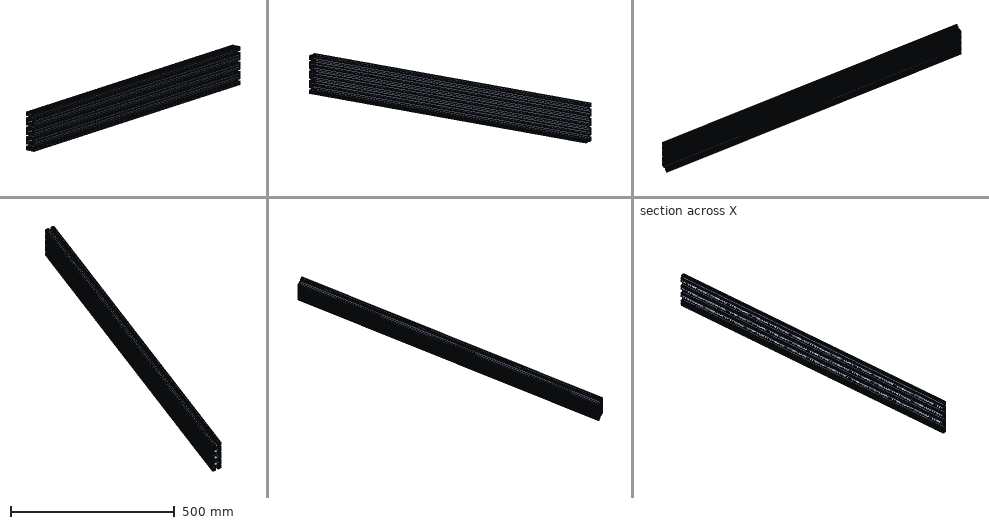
import cadquery as cq

CELL = 30.0
CELL_COUNT = 4
LENGTH = 1000.0
HEIGHT = CELL * CELL_COUNT
CORNER_RADIUS = 2.0

SLOT_OPENING = 8.0
LIP_THICKNESS = 2.0
SLOT_INNER_WIDTH = 17.0
SLOT_STRAIGHT_DEPTH = 5.0
SLOT_FLOOR_WIDTH = 8.0
SLOT_DEPTH = 9.0

BORE_DIAMETER = 8.2

CHAMBER_WALL = 2.0
CHAMBER_HEIGHT = 17.0
CHAMBER_SIDE_HEIGHT = 3.0
CHAMBER_FLAT_WIDTH = 12.0

CORNER_VOID_SIZE = 4.0
CORNER_VOID_INSET = 1.5

cell_centres = [(i + 0.5) * CELL - HEIGHT / 2 for i in range(CELL_COUNT)]
joint_heights = [i * CELL - HEIGHT / 2 for i in range(1, CELL_COUNT)]


def profile_plane():
    """XZ sketch plane at the front end; extruding by -LENGTH runs toward +Y."""
    return cq.Workplane("XZ", origin=(0, -LENGTH / 2, 0))


def slot_cutter(angle, centre_height):
    """T-slot cut into the top of a cell, turned about Y to another face and moved to its cell."""
    half_outline = [
        (SLOT_OPENING / 2, 0),
        (SLOT_OPENING / 2, LIP_THICKNESS),
        (SLOT_INNER_WIDTH / 2, LIP_THICKNESS),
        (SLOT_INNER_WIDTH / 2, SLOT_STRAIGHT_DEPTH),
        (SLOT_FLOOR_WIDTH / 2, SLOT_DEPTH),
    ]
    right_side = [(x, CELL / 2 - depth) for x, depth in half_outline]
    left_side = [(-x, z) for x, z in reversed(right_side)]
    cutter = profile_plane().polyline(right_side + left_side).close().extrude(-LENGTH)
    return cutter.rotate((0, 0, 0), (0, 1, 0), angle).translate((0, 0, centre_height))


def chamber_cutter(joint_height):
    """Eight-sided chamber, widest at the joint between two cells."""
    side_x = CELL / 2 - CHAMBER_WALL
    side_z = CHAMBER_SIDE_HEIGHT / 2
    flat_x = CHAMBER_FLAT_WIDTH / 2
    flat_z = CHAMBER_HEIGHT / 2
    upper = [(side_x, side_z), (flat_x, flat_z), (-flat_x, flat_z), (-side_x, side_z)]
    lower = [(-x, -z) for x, z in upper]
    cutter = profile_plane().polyline(upper + lower).close().extrude(-LENGTH)
    return cutter.translate((0, 0, joint_height))


result = profile_plane().rect(CELL, HEIGHT).extrude(-LENGTH)
result = result.edges("|Y").fillet(CORNER_RADIUS)

for centre in cell_centres:
    for angle in (90, -90):
        result = result.cut(slot_cutter(angle, centre))

for angle, centre in ((0, cell_centres[-1]), (180, cell_centres[0])):
    result = result.cut(slot_cutter(angle, centre))

for joint in joint_heights:
    result = result.cut(chamber_cutter(joint))

bore_positions = [(0, centre) for centre in cell_centres]
bores = profile_plane().pushPoints(bore_positions).circle(BORE_DIAMETER / 2).extrude(-LENGTH)
result = result.cut(bores)

void_offset = CORNER_VOID_INSET + CORNER_VOID_SIZE / 2
void_spacing_x = CELL - 2 * void_offset
void_spacing_z = HEIGHT - 2 * void_offset
void_positions = profile_plane().rarray(void_spacing_x, void_spacing_z, 2, 2)
result = result.cut(void_positions.rect(CORNER_VOID_SIZE, CORNER_VOID_SIZE).extrude(-LENGTH))